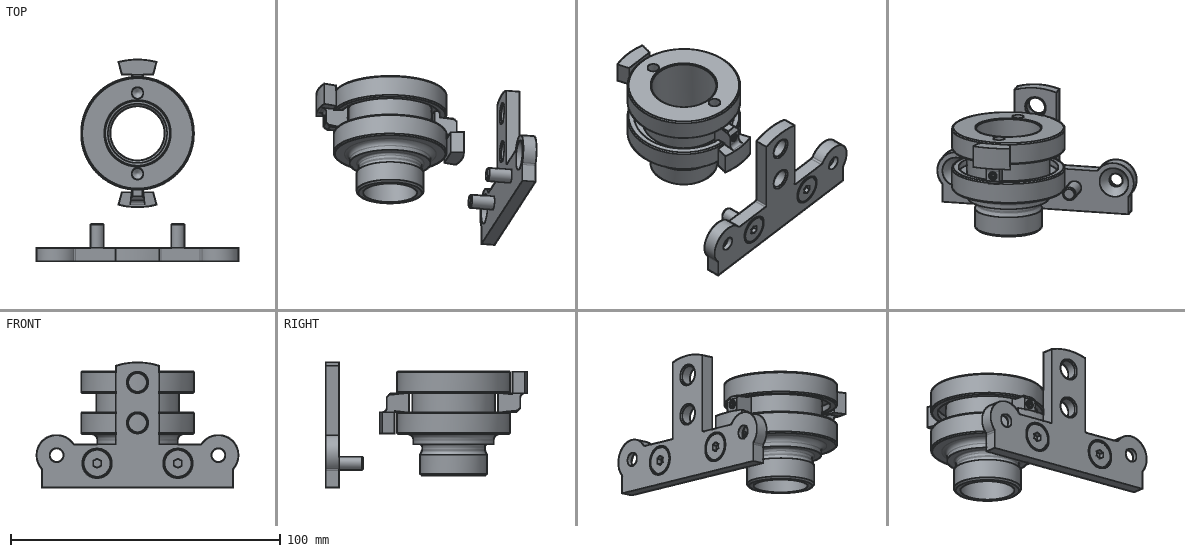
import cadquery as cq
import math

SPOOL_MID_Z = 31.5
CHANNEL_HEIGHT = 7.0
FLANGE_HEIGHT = 8.25
FLANGE_RADIUS = 42 / 2
FLANGE_CHAMFER = 0.5
CORE_RADIUS = 30.8 / 2
RECESS_RADIUS = 37.0 / 2
RECESS_DEPTH = 2.3
COLLAR_RADIUS = 30 / 2
COLLAR_HEIGHT = 3.75
COLLAR_FILLET = 2.0
NECK_RADIUS = 23.4 / 2
NECK_HEIGHT = 2.2
NECK_FILLET = 0.8
TAIL_RADIUS = 25.0 / 2
TAIL_CONE_HEIGHT = 1.7
TAIL_CHAMFER = 0.75
SPOOL_BOTTOM_Z = 4.4
BORE_RADIUS = 24 / 2
BORE_CHAMFER = 0.4
OUTLET_RADIUS = 20.0 / 2
OUTLET_CHAMFER = 1.0
WRENCH_HOLE_RADIUS = 4.3 / 2
WRENCH_HOLE_OFFSET = 15
WRENCH_HOLE_DEPTH = 4.1
DRILL_TIP_HEIGHT = WRENCH_HOLE_RADIUS * math.tan(math.radians(31))

CHANNEL_TOP_Z = SPOOL_MID_Z + CHANNEL_HEIGHT / 2
CHANNEL_BOTTOM_Z = SPOOL_MID_Z - CHANNEL_HEIGHT / 2
SPOOL_TOP_Z = CHANNEL_TOP_Z + FLANGE_HEIGHT
FLANGE_BOTTOM_Z = CHANNEL_BOTTOM_Z - FLANGE_HEIGHT

LUG_OUTER_RADIUS = 27.45
LUG_INNER_Y = 21.8
LUG_HALF_ANGLE = 15
LUG_HEIGHT = 8.0
ARM_INNER_Y = 16.5
ARM_OUTER_Y = 24.8
ARM_HALF_ANGLE = 5.8
ARM_CORNER = 1.5
ARM_FLAT_HALF_WIDTH = 1.8
ARM_CHAMFER_SIZE = 1.5
SET_SCREW_RADIUS = 3 / 2
SET_SCREW_FACE_RADIUS = 2.5 / 2
SET_SCREW_FLATS = 1.5
SET_SCREW_SOCKET_DEPTH = 1.5

PLATE_FRONT_Y = -47.5
PLATE_THICKNESS = 5.0
PLATE_BACK_Y = PLATE_FRONT_Y + PLATE_THICKNESS
BASE_HALF_WIDTH = 35.5
BASE_HEIGHT = 16.0
STEM_HALF_WIDTH = 8.0
STEM_HEIGHT = 46.5
STEM_CROWN = 1.3
INNER_FILLET = 0.5
EAR_RADIUS = 7.5
EAR_X = 37.5 - EAR_RADIUS
EAR_Z = 12
EAR_FILLET = 1.0
STEM_HOLE_RADIUS = 6.9 / 2
STEM_HOLE_CHAMFER = 0.5
STEM_HOLE_SPACING = CHANNEL_HEIGHT + LUG_HEIGHT

SCREW_X = 15
SCREW_Z = 9
SHANK_RADIUS = 5.0 / 2
HEAD_RADIUS = 10.0 / 2
HEAD_RIM = 0.5
SEAT_RADIUS = HEAD_RADIUS + HEAD_RIM
SCREW_LENGTH = 14.0
TIP_CHAMFER = 0.5
SOCKET_FLATS = 3
SOCKET_DEPTH = 2.0


def mirrored_x(half_profile):
    """Closed polygon from its right-hand points, listed from one end of the axis to the other."""
    return half_profile + [(-x, y) for x, y in reversed(half_profile)]


def along_y(x, z, y):
    """Workplane at (x, y, z) whose extrusions run toward +Y."""
    return cq.Workplane("XZ", origin=(x, y, z)).transformed(rotate=(180, 0, 0))


def cone(radius_start, radius_end, height, start, direction):
    return cq.Workplane(obj=cq.Solid.makeCone(
        radius_start, radius_end, height, cq.Vector(*start), cq.Vector(*direction)))


def hexagon(start, flats):
    corners = flats / math.cos(math.radians(30))
    return start.transformed(rotate=(0, 0, 90)).polygon(6, corners)


def turned_body():
    collar_bottom_z = FLANGE_BOTTOM_Z - COLLAR_HEIGHT
    neck_bottom_z = collar_bottom_z - NECK_HEIGHT
    fillet_mid = COLLAR_FILLET * (1 - math.sqrt(0.5))
    rim = FLANGE_RADIUS - FLANGE_CHAMFER
    profile = (
        cq.Workplane("XZ")
        .moveTo(OUTLET_RADIUS, SPOOL_BOTTOM_Z)
        .lineTo(TAIL_RADIUS - TAIL_CHAMFER, SPOOL_BOTTOM_Z)
        .lineTo(TAIL_RADIUS, SPOOL_BOTTOM_Z + TAIL_CHAMFER)
        .lineTo(TAIL_RADIUS, neck_bottom_z - TAIL_CONE_HEIGHT)
        .lineTo(NECK_RADIUS, neck_bottom_z)
        .lineTo(NECK_RADIUS, collar_bottom_z)
        .lineTo(COLLAR_RADIUS, collar_bottom_z)
        .lineTo(COLLAR_RADIUS, FLANGE_BOTTOM_Z - COLLAR_FILLET)
        .threePointArc(
            (COLLAR_RADIUS + fillet_mid, FLANGE_BOTTOM_Z - fillet_mid),
            (COLLAR_RADIUS + COLLAR_FILLET, FLANGE_BOTTOM_Z))
        .lineTo(rim, FLANGE_BOTTOM_Z)
        .lineTo(FLANGE_RADIUS, FLANGE_BOTTOM_Z + FLANGE_CHAMFER)
        .lineTo(FLANGE_RADIUS, CHANNEL_BOTTOM_Z - FLANGE_CHAMFER)
        .lineTo(rim, CHANNEL_BOTTOM_Z)
        .lineTo(RECESS_RADIUS, CHANNEL_BOTTOM_Z)
        .lineTo(RECESS_RADIUS, CHANNEL_BOTTOM_Z - RECESS_DEPTH)
        .lineTo(CORE_RADIUS, CHANNEL_BOTTOM_Z - RECESS_DEPTH)
        .lineTo(CORE_RADIUS, CHANNEL_TOP_Z + RECESS_DEPTH)
        .lineTo(RECESS_RADIUS, CHANNEL_TOP_Z + RECESS_DEPTH)
        .lineTo(RECESS_RADIUS, CHANNEL_TOP_Z)
        .lineTo(rim, CHANNEL_TOP_Z)
        .lineTo(FLANGE_RADIUS, CHANNEL_TOP_Z + FLANGE_CHAMFER)
        .lineTo(FLANGE_RADIUS, SPOOL_TOP_Z - FLANGE_CHAMFER)
        .lineTo(rim, SPOOL_TOP_Z)
        .lineTo(BORE_RADIUS + BORE_CHAMFER, SPOOL_TOP_Z)
        .lineTo(BORE_RADIUS, SPOOL_TOP_Z - BORE_CHAMFER)
        .lineTo(BORE_RADIUS, FLANGE_BOTTOM_Z)
        .lineTo(OUTLET_RADIUS + OUTLET_CHAMFER, FLANGE_BOTTOM_Z)
        .lineTo(OUTLET_RADIUS, FLANGE_BOTTOM_Z - OUTLET_CHAMFER)
        .close()
    )
    body = profile.revolve(360, (0, 0, 0), (0, 1, 0))
    neck_ends = body.edges("%CIRCLE").filter(lambda edge: math.isclose(edge.radius(), NECK_RADIUS))
    return neck_ends.fillet(NECK_FILLET)


def wrench_hole(y):
    hole = cq.Workplane("XY", origin=(0, y, SPOOL_TOP_Z)).circle(WRENCH_HOLE_RADIUS).extrude(-WRENCH_HOLE_DEPTH)
    tip = cone(WRENCH_HOLE_RADIUS, 0, DRILL_TIP_HEIGHT, (0, y, SPOOL_TOP_Z - WRENCH_HOLE_DEPTH), (0, 0, -1))
    return hole.union(tip)


def sector_bar(y_start, y_end, overhang=0):
    """Length of the arm between two flat ends, with sides that point at the spool axis."""
    slope = math.tan(math.radians(ARM_HALF_ANGLE))
    outline = mirrored_x([(y_start * slope, y_start), (y_end * slope, y_end)])
    bottom = cq.Workplane("XY", origin=(0, 0, CHANNEL_BOTTOM_Z - overhang))
    return bottom.polyline(outline).close().extrude(CHANNEL_HEIGHT + 2 * overhang)


def chamfered_section(upper_chamfer):
    """Bar along Y whose section trims the lower edges of the arm, and the upper edges if asked."""
    side = ARM_FLAT_HALF_WIDTH + ARM_CHAMFER_SIZE
    upper_half_width = ARM_FLAT_HALF_WIDTH if upper_chamfer else side
    outline = mirrored_x([
        (ARM_FLAT_HALF_WIDTH, CHANNEL_BOTTOM_Z),
        (side, CHANNEL_BOTTOM_Z + ARM_CHAMFER_SIZE),
        (side, CHANNEL_TOP_Z - ARM_CHAMFER_SIZE),
        (upper_half_width, CHANNEL_TOP_Z),
    ])
    return cq.Workplane("XZ").polyline(outline).close().extrude(-LUG_OUTER_RADIUS)


def hook():
    """Inner end of the arm, reaching into the recesses of both flanges."""
    recess_disc = (
        cq.Workplane("XY", origin=(0, 0, CHANNEL_BOTTOM_Z - RECESS_DEPTH))
        .circle(RECESS_RADIUS)
        .extrude(CHANNEL_HEIGHT + 2 * RECESS_DEPTH)
    )
    return sector_bar(ARM_INNER_Y, RECESS_RADIUS, RECESS_DEPTH).intersect(recess_disc)


def arm():
    root = sector_bar(ARM_INNER_Y, LUG_INNER_Y).intersect(chamfered_section(True))
    tip = sector_bar(LUG_INNER_Y, ARM_OUTER_Y)
    tip = tip.faces(">Y").edges("<Z").chamfer(ARM_CORNER)
    tip = tip.intersect(chamfered_section(False))
    return root.union(tip).union(hook())


def arm_foot():
    """Concave fillet between the end of the arm and the block."""
    slope = math.tan(math.radians(ARM_HALF_ANGLE))
    foot_end_y = ARM_OUTER_Y + ARM_CORNER
    outline = mirrored_x([(ARM_OUTER_Y * slope, ARM_OUTER_Y), (foot_end_y * slope, foot_end_y)])
    wedge = cq.Workplane("XY", origin=(0, 0, CHANNEL_TOP_Z)).polyline(outline).close().extrude(-ARM_CORNER)
    hollow = (
        cq.Workplane("YZ", origin=(-LUG_OUTER_RADIUS, 0, 0))
        .center(foot_end_y, CHANNEL_TOP_Z - ARM_CORNER)
        .circle(ARM_CORNER)
        .extrude(2 * LUG_OUTER_RADIUS)
    )
    return wedge.cut(hollow)


def lug_block():
    angle = math.radians(LUG_HALF_ANGLE)
    inner_x = LUG_INNER_Y * math.tan(angle)
    outer_x = LUG_OUTER_RADIUS * math.sin(angle)
    outer_y = LUG_OUTER_RADIUS * math.cos(angle)
    return (
        cq.Workplane("XY", origin=(0, 0, CHANNEL_TOP_Z))
        .moveTo(-inner_x, LUG_INNER_Y)
        .lineTo(inner_x, LUG_INNER_Y)
        .lineTo(outer_x, outer_y)
        .threePointArc((0, LUG_OUTER_RADIUS), (-outer_x, outer_y))
        .close()
        .extrude(LUG_HEIGHT)
    )


def set_screw_end():
    """Bevel ring and hex socket of the set screw that ends flush with the arm."""
    bevel = SET_SCREW_RADIUS - SET_SCREW_FACE_RADIUS
    ring = along_y(0, SPOOL_MID_Z, ARM_OUTER_Y - bevel).circle(SET_SCREW_RADIUS).extrude(bevel)
    nose = cone(SET_SCREW_FACE_RADIUS, SET_SCREW_RADIUS, bevel, (0, ARM_OUTER_Y, SPOOL_MID_Z), (0, -1, 0))
    socket_start = along_y(0, SPOOL_MID_Z, ARM_OUTER_Y - SET_SCREW_SOCKET_DEPTH)
    socket = hexagon(socket_start, SET_SCREW_FLATS).extrude(SET_SCREW_SOCKET_DEPTH)
    return ring.cut(nose).union(socket)


def lug():
    """Lug on the +Y side, with its block beside the upper flange."""
    solid = arm().union(lug_block()).union(arm_foot())
    return solid.cut(set_screw_end())


def make_spool():
    body = turned_body()
    for turn in (0, 180):
        body = body.union(lug().rotate((0, 0, SPOOL_MID_Z), (1, 0, SPOOL_MID_Z), turn))
    for y in (-WRENCH_HOLE_OFFSET, WRENCH_HOLE_OFFSET):
        body = body.cut(wrench_hole(y))
    return body


def countersunk_hole(x, z, mouth_y, direction):
    """Through hole for a countersunk screw, opening wide at mouth_y; direction is +1 or -1 along Y."""
    sink = cone(SEAT_RADIUS, SHANK_RADIUS, SEAT_RADIUS - SHANK_RADIUS, (x, mouth_y, z), (0, direction, 0))
    return sink.union(along_y(x, z, PLATE_FRONT_Y).circle(SHANK_RADIUS).extrude(PLATE_THICKNESS))


def stem_hole(z):
    mouth_radius = STEM_HOLE_RADIUS + STEM_HOLE_CHAMFER
    hole = along_y(0, z, PLATE_FRONT_Y).circle(STEM_HOLE_RADIUS).extrude(PLATE_THICKNESS)
    for mouth_y, direction in ((PLATE_FRONT_Y, 1), (PLATE_BACK_Y, -1)):
        mouth = cone(mouth_radius, STEM_HOLE_RADIUS, STEM_HOLE_CHAMFER, (0, mouth_y, z), (0, direction, 0))
        hole = hole.union(mouth)
    return hole


def plate_blank():
    shoulder_z = STEM_HEIGHT - STEM_CROWN
    tee = (
        cq.Workplane("XZ", origin=(0, PLATE_BACK_Y, 0))
        .moveTo(-BASE_HALF_WIDTH, 0)
        .lineTo(BASE_HALF_WIDTH, 0)
        .lineTo(BASE_HALF_WIDTH, BASE_HEIGHT)
        .lineTo(STEM_HALF_WIDTH, BASE_HEIGHT)
        .lineTo(STEM_HALF_WIDTH, shoulder_z)
        .threePointArc((0, STEM_HEIGHT), (-STEM_HALF_WIDTH, shoulder_z))
        .lineTo(-STEM_HALF_WIDTH, BASE_HEIGHT)
        .lineTo(-BASE_HALF_WIDTH, BASE_HEIGHT)
        .close()
        .extrude(PLATE_THICKNESS)
    )
    for x in (-EAR_X, EAR_X):
        tee = tee.union(along_y(x, EAR_Z, PLATE_FRONT_Y).circle(EAR_RADIUS).extrude(PLATE_THICKNESS))
    return tee


def round_inner_corners(blank):
    mid_y = PLATE_FRONT_Y + PLATE_THICKNESS / 2
    ear_top_x = EAR_X - math.sqrt(EAR_RADIUS ** 2 - (BASE_HEIGHT - EAR_Z) ** 2)
    ear_side_z = EAR_Z - math.sqrt(EAR_RADIUS ** 2 - (BASE_HALF_WIDTH - EAR_X) ** 2)
    corners = [
        (STEM_HALF_WIDTH, BASE_HEIGHT, INNER_FILLET),
        (ear_top_x, BASE_HEIGHT, EAR_FILLET),
        (BASE_HALF_WIDTH, ear_side_z, EAR_FILLET),
    ]
    for x, z, radius in corners:
        for side in (-1, 1):
            blank = blank.edges(cq.NearestToPointSelector((side * x, mid_y, z))).fillet(radius)
    return blank


def make_plate():
    plate = round_inner_corners(plate_blank())
    for x in (-EAR_X, EAR_X):
        plate = plate.cut(countersunk_hole(x, EAR_Z, PLATE_BACK_Y, -1))
    for x in (-SCREW_X, SCREW_X):
        plate = plate.cut(countersunk_hole(x, SCREW_Z, PLATE_FRONT_Y, 1))
    for offset in (-STEM_HOLE_SPACING / 2, STEM_HOLE_SPACING / 2):
        plate = plate.cut(stem_hole(SPOOL_MID_Z + offset))
    return plate


def make_screw(x):
    face = along_y(x, SCREW_Z, PLATE_FRONT_Y)
    rim = face.circle(HEAD_RADIUS).extrude(HEAD_RIM)
    taper_start = (x, PLATE_FRONT_Y + HEAD_RIM, SCREW_Z)
    taper = cone(HEAD_RADIUS, SHANK_RADIUS, HEAD_RADIUS - SHANK_RADIUS, taper_start, (0, 1, 0))
    shank = face.circle(SHANK_RADIUS).extrude(SCREW_LENGTH).faces(">Y").chamfer(TIP_CHAMFER)
    socket = hexagon(face, SOCKET_FLATS).extrude(SOCKET_DEPTH)
    return rim.union(taper).union(shank).cut(socket)


spool = make_spool()
plate = make_plate()
screws = [make_screw(x) for x in (-SCREW_X, SCREW_X)]

result = cq.Compound.makeCompound([spool.val(), plate.val(), *[screw.val() for screw in screws]])